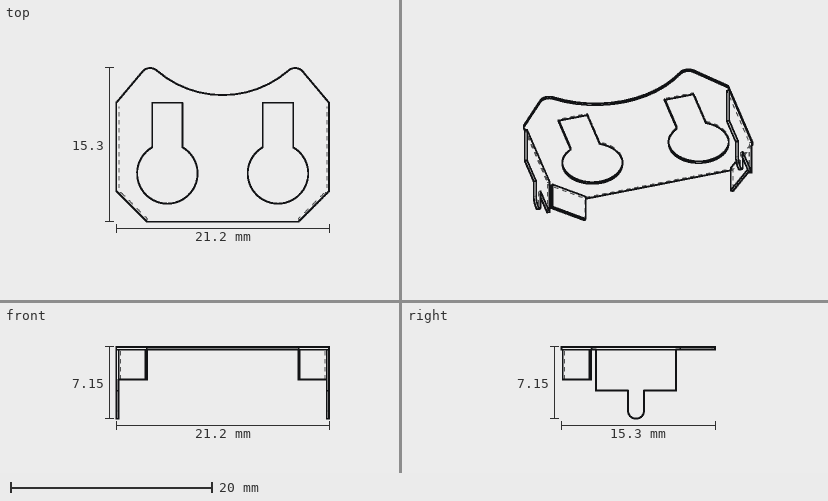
import cadquery as cq
import math

plate_width = 21.2
plate_depth = 15.3
sheet_thickness = 0.25
half_width = plate_width / 2
plate_underside = -sheet_thickness

corner_chamfer = 3.05
wing_start_y = 11.83
scoop_radius = 10.0
scoop_bottom_y = 12.61
tip_radius = 1.0

keyhole_spacing = 11.0
keyhole_diameter = 6.0
keyhole_center_y = 4.81
keyhole_slot_width = keyhole_diameter / 2
keyhole_slot_end_y = wing_start_y

overall_height = 7.15
leg_width = 8.0
leg_center_y = 7.45
leg_bottom = -4.35
tail_width = 1.61
tail_radius = tail_width / 2
tail_bottom = -overall_height

tab_length = 3.77
tab_bottom = -3.25
tab_setback = 0.2


def point_on_circle(center, radius, angle):
    return (center[0] + radius * math.cos(angle), center[1] + radius * math.sin(angle))


def mirrored(point):
    return (-point[0], point[1])


def make_plate_outline():
    """Closed outline whose right wing tip touches the rear limit, the scoop and the wing edge."""
    scoop_center_y = scoop_bottom_y + scoop_radius
    tip_center_y = plate_depth - tip_radius
    tip_center_x = math.sqrt((scoop_radius + tip_radius) ** 2 - (scoop_center_y - tip_center_y) ** 2)
    tip_center = (tip_center_x, tip_center_y)

    scoop_angle = math.atan2(scoop_center_y - tip_center_y, -tip_center_x)
    scoop_end = point_on_circle(tip_center, tip_radius, scoop_angle)

    to_start_x = half_width - tip_center_x
    to_start_y = wing_start_y - tip_center_y
    start_distance = math.hypot(to_start_x, to_start_y)
    wing_angle = math.atan2(to_start_y, to_start_x) + math.acos(tip_radius / start_distance)
    wing_end = point_on_circle(tip_center, tip_radius, wing_angle)

    tip_top = (tip_center_x, plate_depth)
    return (
        cq.Workplane("XY")
        .moveTo(-half_width + corner_chamfer, 0)
        .lineTo(half_width - corner_chamfer, 0)
        .lineTo(half_width, corner_chamfer)
        .lineTo(half_width, wing_start_y)
        .lineTo(*wing_end)
        .threePointArc(tip_top, scoop_end)
        .threePointArc((0, scoop_bottom_y), mirrored(scoop_end))
        .threePointArc(mirrored(tip_top), mirrored(wing_end))
        .lineTo(-half_width, wing_start_y)
        .lineTo(-half_width, corner_chamfer)
        .close()
    )


def make_keyhole_cutter(center_x):
    slot_length = keyhole_slot_end_y - keyhole_center_y
    round_end = (
        cq.Workplane("XY")
        .center(center_x, keyhole_center_y)
        .circle(keyhole_diameter / 2)
        .extrude(-sheet_thickness)
    )
    slot = (
        cq.Workplane("XY")
        .center(center_x, keyhole_center_y + slot_length / 2)
        .rect(keyhole_slot_width, slot_length)
        .extrude(-sheet_thickness)
    )
    return round_end.union(slot)


def make_plate():
    plate = make_plate_outline().extrude(-sheet_thickness)
    for side in (-1, 1):
        plate = plate.cut(make_keyhole_cutter(side * keyhole_spacing / 2))
    return plate


def make_leg(side):
    """Leg below the plate, flush with its side face; side is -1 for -X and 1 for +X."""
    leg_front = leg_center_y - leg_width / 2
    leg_rear = leg_center_y + leg_width / 2
    tail_front = leg_center_y - tail_radius
    tail_rear = leg_center_y + tail_radius
    tail_arc_start = tail_bottom + tail_radius
    return (
        cq.Workplane("YZ", origin=(side * half_width, 0, 0))
        .moveTo(leg_front, plate_underside)
        .lineTo(leg_front, leg_bottom)
        .lineTo(tail_front, leg_bottom)
        .lineTo(tail_front, tail_arc_start)
        .threePointArc((leg_center_y, tail_bottom), (tail_rear, tail_arc_start))
        .lineTo(tail_rear, leg_bottom)
        .lineTo(leg_rear, leg_bottom)
        .lineTo(leg_rear, plate_underside)
        .close()
        .extrude(-side * sheet_thickness)
    )


def make_corner_tab(side):
    """Tab below the plate, its outer face flush with the front chamfer on the given side."""
    diagonal = math.sqrt(0.5)
    front_x = half_width - corner_chamfer + tab_setback * diagonal
    front_y = tab_setback * diagonal
    run = tab_length * diagonal
    inset = sheet_thickness * diagonal
    corners = [
        (front_x, front_y),
        (front_x + run, front_y + run),
        (front_x + run - inset, front_y + run + inset),
        (front_x - inset, front_y + inset),
    ]
    return (
        cq.Workplane("XY", origin=(0, 0, plate_underside))
        .polyline([(side * x, y) for x, y in corners])
        .close()
        .extrude(tab_bottom - plate_underside)
    )


plate = make_plate()
legs = [make_leg(side) for side in (-1, 1)]
corner_tabs = [make_corner_tab(side) for side in (-1, 1)]

result = cq.Compound.makeCompound([
    plate.val(),
    *[leg.val() for leg in legs],
    *[tab.val() for tab in corner_tabs],
])